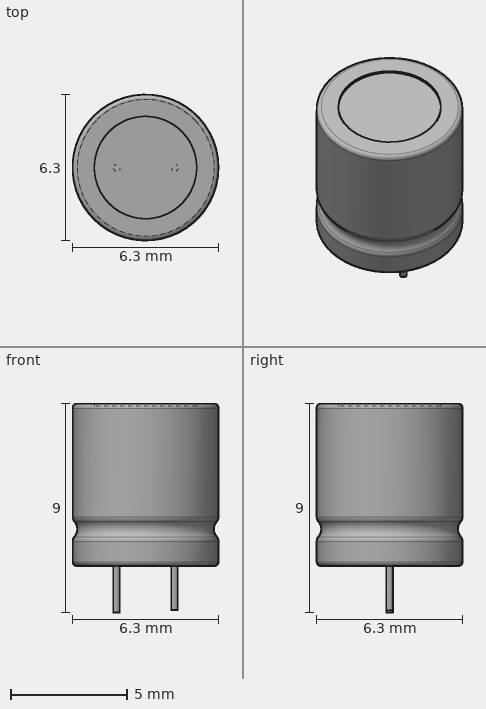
import cadquery as cq
import math

total_height = 9.0
can_diameter = 6.3
long_lead_length = 2.0
short_lead_length = 1.9
can_height = total_height - long_lead_length
can_radius = can_diameter / 2

rim_radius = 0.2
recess_diameter = 4.41
recess_depth = 0.1

groove_height = 1.59
groove_depth = 0.2
groove_arc_radius = 0.5
groove_blend_radius = 0.3

lead_diameter = 0.3
lead_spacing = 2.5


def make_can():
    """Revolve the can wall, rims and crimp groove about Z."""
    centre_distance = groove_arc_radius + groove_blend_radius
    sweep = math.acos(1 - groove_depth / centre_distance)
    blend_start = centre_distance * math.sin(sweep)
    blend_end = groove_arc_radius * math.sin(sweep)
    blend_end_radius = can_radius - groove_blend_radius * (1 - math.cos(sweep))
    blend_mid = blend_start - groove_blend_radius * math.sin(sweep / 2)
    blend_mid_radius = can_radius - groove_blend_radius * (1 - math.cos(sweep / 2))

    profile = (
        cq.Workplane("XZ")
        .lineTo(can_radius, 0)
        .lineTo(can_radius, groove_height - blend_start)
        .threePointArc(
            (blend_mid_radius, groove_height - blend_mid),
            (blend_end_radius, groove_height - blend_end),
        )
        .threePointArc(
            (can_radius - groove_depth, groove_height),
            (blend_end_radius, groove_height + blend_end),
        )
        .threePointArc(
            (blend_mid_radius, groove_height + blend_mid),
            (can_radius, groove_height + blend_start),
        )
        .lineTo(can_radius, can_height)
        .lineTo(0, can_height)
        .close()
    )
    can = profile.revolve(360, (0, 0, 0), (0, 1, 0))
    return can.faces("<Z or >Z").edges().fillet(rim_radius)


def make_recess():
    """Disc removed from the top of the can."""
    return (
        cq.Workplane("XY", origin=(0, 0, can_height - recess_depth))
        .circle(recess_diameter / 2)
        .extrude(recess_depth)
    )


def make_lead(x, length):
    """Straight round lead hanging from the underside of the can."""
    return cq.Workplane("XY").center(x, 0).circle(lead_diameter / 2).extrude(-length)


result = make_can().cut(make_recess())
for lead_x, lead_length in (
    (-lead_spacing / 2, long_lead_length),
    (lead_spacing / 2, short_lead_length),
):
    result = result.union(make_lead(lead_x, lead_length))